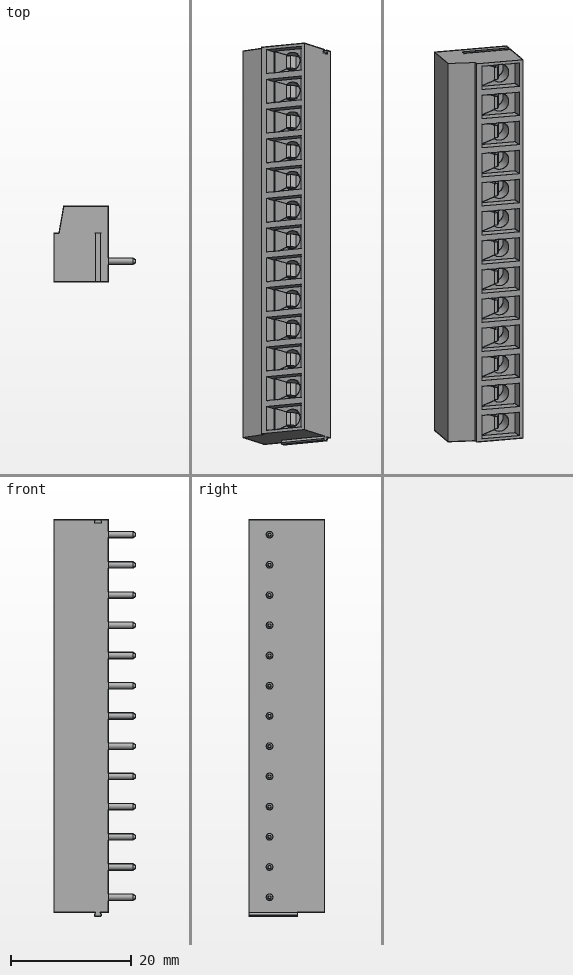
import cadquery as cq
import math

pole_count = 13
pitch = 5.0
body_width = 9.0
body_depth = 12.5
body_height = pole_count * pitch

front_depth = 8.05
step_width = 0.82
slope_angle = 10.0

pin_diameter = 1.1
pin_length = 4.5
pin_chamfer_length = 0.45
pin_chamfer_radial = 0.3
pin_embed = 1.0
pin_y = 3.4

pocket_y_start = 0.6
pocket_y_end = 7.1
pocket_height = 4.0
pocket_depth = 1.9
pocket_draft = 0.2
bend_groove_width = 0.55
bend_groove_depth = 0.6

hole_diameter = 3.05
hole_depth = 3.0

leaf_thickness = 0.05
leaf_root_height = 3.8
leaf_neck_y = 4.35
leaf_neck_height = 2.3
tongue_height = 2.1
tongue_bend_y = 3.75
tongue_bend_drop = 0.2
tongue_tip_y = 3.25
tongue_tip_drop = 1.2

rail_center_x = 7.27
rail_neck_width = 0.8
rail_wide_width = 1.2
rail_tip_width = 0.9
rail_wide_drop = 0.45
rail_height = 0.68
groove_mouth_width = 0.85
groove_wide_drop = 0.4
groove_depth = 0.6

slope_run = (body_depth - front_depth) * math.tan(math.radians(slope_angle))
pole_heights = [(index + 0.5) * pitch for index in range(pole_count)]
pocket_floor_x = pocket_depth
bend_groove_low_y = pocket_y_end - bend_groove_width


def make_body():
    outline = [
        (0, 0),
        (body_width, 0),
        (body_width, body_depth),
        (step_width + slope_run, body_depth),
        (step_width, front_depth),
        (0, front_depth),
    ]
    return cq.Workplane("XY").polyline(outline).close().extrude(body_height)


def make_pin(pole_z):
    radius = pin_diameter / 2
    tip_radius = radius - pin_chamfer_radial
    half_outline = [
        (body_width - pin_embed, 0),
        (body_width - pin_embed, -radius),
        (body_width + pin_length - pin_chamfer_length, -radius),
        (body_width + pin_length, -tip_radius),
        (body_width + pin_length, 0),
    ]
    pin = cq.Workplane("XY").polyline(half_outline).close().revolve(360, (0, 0, 0), (1, 0, 0))
    return pin.translate((0, pin_y, pole_z))


def extrude_about_pole(outline, height, pole_z):
    """Extrude an XY outline to the given height, centred on a pole."""
    base_z = pole_z - height / 2
    return cq.Workplane("XY").workplane(offset=base_z).polyline(outline).close().extrude(height)


def make_pocket(pole_z):
    """Drafted pocket with a V-groove along its high-Y edge and a round wire hole in its floor."""
    outline = [
        (0, pocket_y_start),
        (pocket_floor_x, pocket_y_start + pocket_draft),
        (pocket_floor_x, bend_groove_low_y),
        (pocket_floor_x + bend_groove_depth, pocket_y_end),
        (0, pocket_y_end),
    ]
    pocket = extrude_about_pole(outline, pocket_height, pole_z)
    hole = (
        cq.Workplane("YZ")
        .workplane(offset=pocket_floor_x)
        .center(pin_y, pole_z)
        .circle(hole_diameter / 2)
        .extrude(hole_depth)
    )
    return pocket.union(hole)


def make_spring(pole_z):
    """Tapered leaf lying on the pocket floor plus the tongue bent down into the wire hole."""
    leaf_top_x = pocket_floor_x - leaf_thickness
    hole_bottom_x = pocket_floor_x + hole_depth
    leaf_root_y = bend_groove_low_y
    leaf_outline = [
        (leaf_root_y, pole_z - leaf_root_height / 2),
        (leaf_root_y, pole_z + leaf_root_height / 2),
        (leaf_neck_y, pole_z + leaf_neck_height / 2),
        (leaf_neck_y, pole_z - leaf_neck_height / 2),
    ]
    leaf = (
        cq.Workplane("YZ")
        .workplane(offset=leaf_top_x)
        .polyline(leaf_outline)
        .close()
        .extrude(hole_bottom_x - leaf_top_x)
    )
    tongue_outline = [
        (leaf_top_x, leaf_neck_y),
        (leaf_top_x + tongue_bend_drop, tongue_bend_y),
        (leaf_top_x + tongue_tip_drop, tongue_tip_y),
        (hole_bottom_x, tongue_tip_y),
        (hole_bottom_x, leaf_neck_y),
    ]
    return leaf.union(extrude_about_pole(tongue_outline, tongue_height, pole_z))


def make_rail():
    outline = [
        (rail_center_x - rail_neck_width / 2, 0),
        (rail_center_x - rail_wide_width / 2, -rail_wide_drop),
        (rail_center_x - rail_tip_width / 2, -rail_height),
        (rail_center_x + rail_tip_width / 2, -rail_height),
        (rail_center_x + rail_wide_width / 2, -rail_wide_drop),
        (rail_center_x + rail_neck_width / 2, 0),
    ]
    return cq.Workplane("XZ").polyline(outline).close().extrude(-front_depth)


def make_rail_groove():
    outline = [
        (rail_center_x - groove_mouth_width / 2, body_height),
        (rail_center_x - rail_wide_width / 2, body_height - groove_wide_drop),
        (rail_center_x - rail_wide_width / 2, body_height - groove_depth),
        (rail_center_x + rail_wide_width / 2, body_height - groove_depth),
        (rail_center_x + rail_wide_width / 2, body_height - groove_wide_drop),
        (rail_center_x + groove_mouth_width / 2, body_height),
    ]
    return cq.Workplane("XZ").polyline(outline).close().extrude(-front_depth)


result = make_body().union(make_rail()).cut(make_rail_groove())
for height in pole_heights:
    result = result.cut(make_pocket(height))
    result = result.union(make_spring(height))
    result = result.union(make_pin(height))